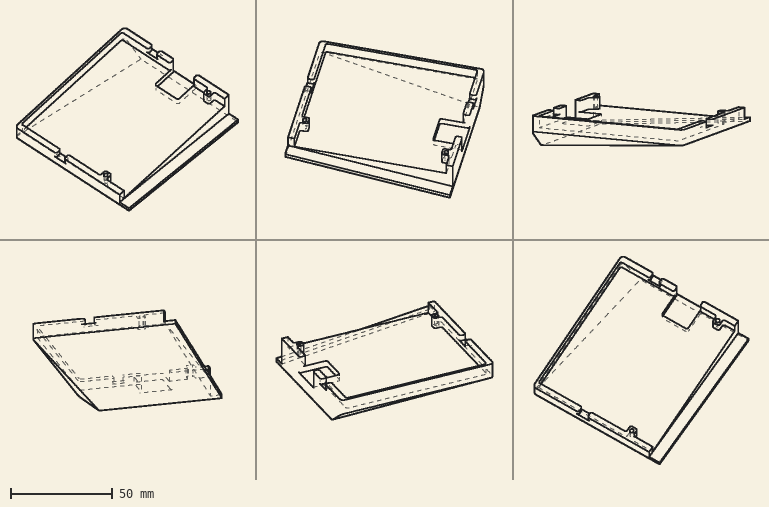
import cadquery as cq
import math

length_x = 73.7
width_y = 83.8
total_height = 16.5
rim_height = 7.8
wedge_drop = total_height - rim_height
left_slope_run = 10.6
corner_radius = 2.0

plate_thickness = 2.0
left_wall = 1.3
side_wall = 3.35
tray_end_x = 67.6
cavity_radius = 1.0
round_radius = 1.0

notch_width = 5.0
notch_depth = 3.0
front_notch_x = 29.2
rear_notch_x = 20.9

recess_x = 39.8
recess_size = 15.0
recess_depth = 3.35

post_width = 4.0
post_reach = 4.0
post_root_radius = 1.0
hole_diameter = 2.0
hole_depth = 5.0
drill_tip_angle = 118.0
hole_inset = 5.3
front_post_x = 54.3
rear_post_x = 59.0

front_wall_mid_y = side_wall / 2
rear_wall_mid_y = width_y - side_wall / 2
floor_wall_height = rim_height - plate_thickness


def make_body():
    """Block with a rising underside, a sloped left side and rounded left corners."""
    body = (
        cq.Workplane("XY")
        .workplane(offset=-wedge_drop)
        .rect(length_x, width_y, centered=False)
        .extrude(total_height)
        .edges("|Z and <X")
        .fillet(corner_radius)
    )
    side_profile = (
        cq.Workplane("YZ")
        .polyline([(0, 0), (width_y, -wedge_drop), (width_y, rim_height), (0, rim_height)])
        .close()
        .extrude(length_x)
    )
    front_profile = (
        cq.Workplane("XZ")
        .polyline([
            (0, 0),
            (left_slope_run, -wedge_drop),
            (length_x, -wedge_drop),
            (length_x, rim_height),
            (0, rim_height),
        ])
        .close()
        .extrude(-width_y)
    )
    return body.intersect(side_profile).intersect(front_profile)


def make_cavity():
    """Space between the walls, open towards the right."""
    return (
        cq.Workplane("XY")
        .workplane(offset=plate_thickness)
        .moveTo(left_wall, side_wall)
        .rect(length_x - left_wall, width_y - 2 * side_wall, centered=False)
        .extrude(rim_height)
        .edges("|Z and <X")
        .fillet(cavity_radius)
    )


def make_ledge_cut():
    """Space above the right ledge, whose top runs parallel to the underside."""
    return (
        cq.Workplane("YZ")
        .workplane(offset=tray_end_x)
        .polyline([
            (0, plate_thickness),
            (width_y, plate_thickness - wedge_drop),
            (width_y, rim_height),
            (0, rim_height),
        ])
        .close()
        .extrude(length_x - tray_end_x)
    )


def make_wall_gap(mid_x, mid_y, gap_width, depth):
    """Gap through a side wall that leaves all four wall corners rounded."""
    half_gap = gap_width / 2
    half_mouth = half_gap + round_radius
    half_wall = side_wall / 2
    half_straight = half_wall - round_radius
    return (
        cq.Workplane("XY", origin=(mid_x, mid_y, rim_height - depth))
        .moveTo(-half_mouth, -half_wall)
        .lineTo(half_mouth, -half_wall)
        .radiusArc((half_gap, -half_straight), round_radius)
        .lineTo(half_gap, half_straight)
        .radiusArc((half_mouth, half_wall), round_radius)
        .lineTo(-half_mouth, half_wall)
        .radiusArc((-half_gap, half_straight), round_radius)
        .lineTo(-half_gap, -half_straight)
        .radiusArc((-half_mouth, -half_wall), round_radius)
        .close()
        .extrude(depth)
    )


def make_recess():
    """Rounded pocket below the floor, flaring out where it runs through the back."""
    half_recess = recess_size / 2
    half_mouth = half_recess + round_radius
    half_end = half_recess - round_radius
    flare_y = -round_radius
    end_y = -recess_size
    corner_y = end_y + round_radius
    return (
        cq.Workplane("XY", origin=(recess_x, width_y, plate_thickness - recess_depth))
        .moveTo(half_mouth, 0)
        .radiusArc((half_recess, flare_y), -round_radius)
        .lineTo(half_recess, corner_y)
        .radiusArc((half_end, end_y), round_radius)
        .lineTo(-half_end, end_y)
        .radiusArc((-half_recess, corner_y), round_radius)
        .lineTo(-half_recess, flare_y)
        .radiusArc((-half_mouth, 0), -round_radius)
        .close()
        .extrude(recess_depth)
    )


def make_post(mid_x, wall_y, inward):
    """Post standing on the floor; inward is the Y direction (1 or -1) it grows in."""
    half_post = post_width / 2
    half_root = half_post + post_root_radius
    half_tip = half_post - round_radius
    root_y = inward * post_root_radius
    shoulder_y = inward * (post_reach - round_radius)
    tip_y = inward * post_reach
    inside_arc = inward * post_root_radius
    outside_arc = -inward * round_radius
    return (
        cq.Workplane("XY", origin=(mid_x, wall_y, plate_thickness))
        .moveTo(half_root, 0)
        .radiusArc((half_post, root_y), inside_arc)
        .lineTo(half_post, shoulder_y)
        .radiusArc((half_tip, tip_y), outside_arc)
        .lineTo(-half_tip, tip_y)
        .radiusArc((-half_post, shoulder_y), outside_arc)
        .lineTo(-half_post, root_y)
        .radiusArc((-half_root, 0), inside_arc)
        .lineTo(-half_root, -inward * side_wall / 2)
        .lineTo(half_root, -inward * side_wall / 2)
        .close()
        .extrude(floor_wall_height)
    )


def make_screw_hole(mid_x, mid_y):
    """Blind drilled hole with a conical end."""
    radius = hole_diameter / 2
    tip_length = radius / math.tan(math.radians(drill_tip_angle / 2))
    return (
        cq.Workplane("XZ", origin=(mid_x, mid_y, rim_height))
        .polyline([(0, 0), (radius, 0), (radius, -hole_depth), (0, -hole_depth - tip_length)])
        .close()
        .revolve(360, (0, 0), (0, 1))
    )


result = make_body().cut(make_cavity()).cut(make_ledge_cut())
result = result.cut(make_wall_gap(front_notch_x, front_wall_mid_y, notch_width, notch_depth))
result = result.cut(make_wall_gap(rear_notch_x, rear_wall_mid_y, notch_width, notch_depth))
result = result.cut(make_wall_gap(recess_x, rear_wall_mid_y, recess_size, floor_wall_height))
result = result.cut(make_recess())
result = result.union(make_post(front_post_x, side_wall, 1))
result = result.union(make_post(rear_post_x, width_y - side_wall, -1))
result = result.cut(make_screw_hole(front_post_x, hole_inset))
result = result.cut(make_screw_hole(rear_post_x, width_y - hole_inset))